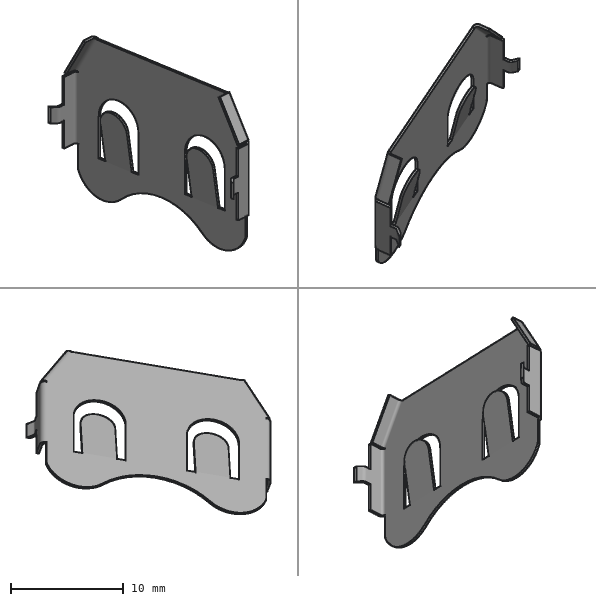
import cadquery as cq
import math


thickness = 0.25
bend_radius = 0.27
outer_bend_radius = bend_radius + thickness

half_width = 11.15
depth = 2.95

plate_half_width = 10.03
plate_top = 15.7
corner_angle = 30.0
corner_bottom = 11.75
corner_rise = plate_top - corner_bottom
corner_run = corner_rise * math.tan(math.radians(corner_angle))
lobe_radius = 3.19
lobe_x = 7.02
notch_top = 2.7

corner_flange_depth = 1.52
wall_depth = 1.72
wall_bottom = 4.6
wall_top = 11.7

tab_width = 1.6
tab_angle = 45.0
tab_bend_radius = 0.27

slot_x = 5.17
slot_bottom = 3.99
slot_half_width = 2.38
tongue_half_width = 1.58
arch_height = 4.15
tongue_tilt = 9.0


def mirrored(body):
    """Return the right-hand body together with its left-hand copy."""
    return body.union(body.mirror("YZ"))


def arch(half_width_of_arch):
    """Solid round-topped panel, one sheet thick, at the right-hand slot."""
    return (
        cq.Workplane("XZ")
        .moveTo(slot_x - half_width_of_arch, slot_bottom)
        .lineTo(slot_x + half_width_of_arch, slot_bottom)
        .lineTo(slot_x + half_width_of_arch, slot_bottom + arch_height)
        .threePointArc(
            (slot_x, slot_bottom + arch_height + half_width_of_arch),
            (slot_x - half_width_of_arch, slot_bottom + arch_height),
        )
        .close()
        .extrude(thickness)
    )


def plate():
    """Flat plate with slanted top corners and two lobes joined by a concave notch."""
    centre_rise = lobe_radius - notch_top
    notch_radius = (lobe_x**2 + centre_rise**2 - lobe_radius**2) / (2 * (lobe_radius - centre_rise))
    notch_z = notch_top - notch_radius
    share = notch_radius / (notch_radius + lobe_radius)
    tangent_x = lobe_x * share
    tangent_z = notch_z + (lobe_radius - notch_z) * share
    lobe_side = plate_half_width - lobe_x
    lobe_end_z = lobe_radius - math.sqrt(lobe_radius**2 - lobe_side**2)
    top_half_width = plate_half_width - corner_run
    return (
        cq.Workplane("XZ")
        .moveTo(-top_half_width, plate_top)
        .lineTo(top_half_width, plate_top)
        .lineTo(plate_half_width, corner_bottom)
        .lineTo(plate_half_width, lobe_end_z)
        .threePointArc((lobe_x, 0), (tangent_x, tangent_z))
        .threePointArc((0, notch_top), (-tangent_x, tangent_z))
        .threePointArc((-lobe_x, 0), (-plate_half_width, lobe_end_z))
        .lineTo(-plate_half_width, corner_bottom)
        .close()
        .extrude(thickness)
    )


def flange(edge_x, edge_z, outward_angle, length, flange_depth):
    """Sheet bent 90 degrees forward along a plate edge, from the edge's upper end down."""
    angle = math.radians(outward_angle)
    profile_plane = cq.Plane(
        origin=(edge_x, 0, edge_z),
        xDir=(math.cos(angle), 0, math.sin(angle)),
        normal=(math.sin(angle), 0, -math.cos(angle)),
    )
    diagonal = math.sqrt(0.5)
    return (
        cq.Workplane(profile_plane)
        .lineTo(0, thickness)
        .threePointArc(
            (bend_radius * diagonal, outer_bend_radius - bend_radius * diagonal),
            (bend_radius, outer_bend_radius),
        )
        .lineTo(bend_radius, flange_depth)
        .lineTo(outer_bend_radius, flange_depth)
        .lineTo(outer_bend_radius, outer_bend_radius)
        .threePointArc(
            (outer_bend_radius * diagonal, outer_bend_radius * (1 - diagonal)),
            (0, 0),
        )
        .close()
        .extrude(length)
    )


def solder_tab():
    """Tab continuing the side wall forward, bent outward and cut flat at the front."""
    wall_outer = plate_half_width + outer_bend_radius
    wall_inner = wall_outer - thickness
    full = math.radians(tab_angle)
    half = full / 2
    convex_radius = tab_bend_radius + thickness
    bend_x = wall_outer + tab_bend_radius
    outer_bend_end_x = bend_x - tab_bend_radius * math.cos(full)
    bend_end_depth = depth - (half_width - outer_bend_end_x) / math.tan(full)
    bend_depth = bend_end_depth - tab_bend_radius * math.sin(full)

    def on_bend(radius, angle):
        """Point on the tab bend, turned by angle from where the bend begins."""
        return (bend_x - radius * math.cos(angle), -bend_depth - radius * math.sin(angle))

    tab_bottom = (wall_bottom + wall_top - tab_width) / 2
    tip_width = thickness / math.cos(full)
    return (
        cq.Workplane("XY", origin=(0, 0, tab_bottom))
        .moveTo(wall_outer, -outer_bend_radius)
        .lineTo(wall_outer, -bend_depth)
        .threePointArc(on_bend(tab_bend_radius, half), on_bend(tab_bend_radius, full))
        .lineTo(half_width, -depth)
        .lineTo(half_width - tip_width, -depth)
        .lineTo(*on_bend(convex_radius, full))
        .threePointArc(on_bend(convex_radius, half), (wall_inner, -bend_depth))
        .lineTo(wall_inner, -outer_bend_radius)
        .close()
        .extrude(tab_width)
    )


def tongue():
    """Contact tongue leaning forward about the back edge of the slot bottom."""
    return arch(tongue_half_width).rotate((0, 0, slot_bottom), (1, 0, slot_bottom), tongue_tilt)


corner_flange = flange(
    plate_half_width - corner_run,
    plate_top,
    corner_angle,
    math.hypot(corner_run, corner_rise),
    corner_flange_depth,
)
side_wall = flange(plate_half_width, wall_top, 0, wall_top - wall_bottom, wall_depth)

result = plate().cut(mirrored(arch(slot_half_width)))
for feature in (tongue(), corner_flange, side_wall, solder_tab()):
    result = result.union(mirrored(feature))